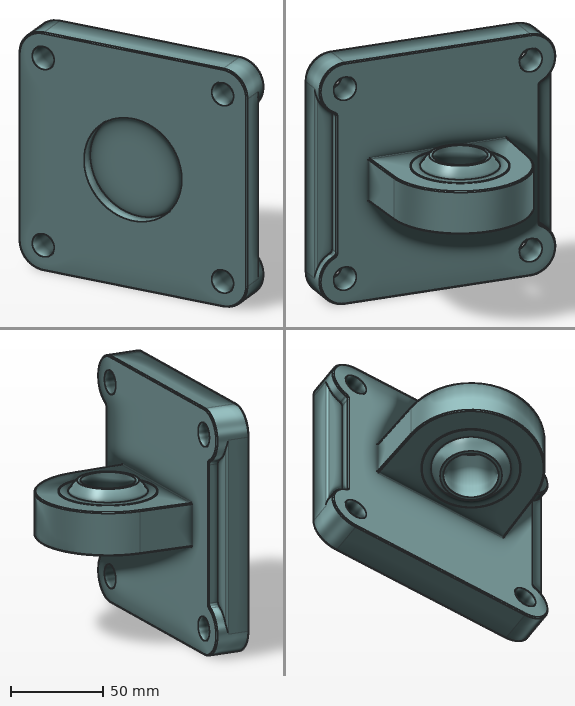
import cadquery as cq
import math

PLATE_SIZE = 140.0
PLATE_THICKNESS = 20.0
PLATE_EDGE_CHAMFER = 0.7
CORNER_RADIUS = 15.0
CORNER_OFFSET = PLATE_SIZE / 2 - CORNER_RADIUS
BOLT_HOLE_DIAMETER = 13.5
RECESS_DIAMETER = 60.0
RECESS_DEPTH = 7.4

STEP_HEIGHT = 14.0
STEP_INSET = 10.0
STEP_EDGE_RADIUS = 1.3
BOSS_ROOT_RADIUS = 2.5

EYE_HEIGHT = 50.0
EYE_RADIUS = 40.0
LUG_THICKNESS = 24.9
LUG_DRAFT = math.radians(2)
LUG_EDGE_CHAMFER = 0.7
LUG_ROOT_RADIUS = 0.5

OUTER_RING_DIAMETER = 54.0
OUTER_RING_CHAMFER = 0.4
BALL_RADIUS = 25.0
BALL_WIDTH = 37.1
BORE_DIAMETER = 30.0


def eye_cylinder(diameter, length):
    """Cylinder on the eye axis, centred on Z = 0."""
    return cq.Workplane("XY").center(0, EYE_HEIGHT).circle(diameter / 2).extrude(length / 2, both=True)


def ball_sphere():
    return cq.Workplane("XY").sphere(BALL_RADIUS).translate((0, EYE_HEIGHT, 0))


def step_outline_prism():
    """Prism in Y over the -X set-back, with rounds running into the corner bosses."""
    edge_x = -PLATE_SIZE / 2
    outside_x = edge_x - STEP_INSET
    wall_x = edge_x + STEP_INSET

    root_x = wall_x - BOSS_ROOT_RADIUS
    boss_to_root_x = root_x + CORNER_OFFSET
    boss_to_root_z = math.sqrt((CORNER_RADIUS + BOSS_ROOT_RADIUS) ** 2 - boss_to_root_x**2)
    root_z = CORNER_OFFSET - boss_to_root_z
    root_to_boss = math.atan2(boss_to_root_z, -boss_to_root_x)

    def on_root(angle):
        x = root_x + BOSS_ROOT_RADIUS * math.cos(angle)
        z = root_z + BOSS_ROOT_RADIUS * math.sin(angle)
        return x, z

    def on_boss(angle):
        x = -CORNER_OFFSET + CORNER_RADIUS * math.cos(angle)
        z = CORNER_OFFSET + CORNER_RADIUS * math.sin(angle)
        return x, z

    tangent_x, tangent_z = on_root(root_to_boss)
    root_mid_x, root_mid_z = on_root(root_to_boss / 2)
    boss_mid_x, boss_mid_z = on_boss(math.pi + root_to_boss / 2)

    return (
        cq.Workplane("XZ")
        .moveTo(outside_x, CORNER_OFFSET)
        .lineTo(edge_x, CORNER_OFFSET)
        .threePointArc((boss_mid_x, boss_mid_z), (tangent_x, tangent_z))
        .threePointArc((root_mid_x, root_mid_z), (wall_x, root_z))
        .lineTo(wall_x, -root_z)
        .threePointArc((root_mid_x, -root_mid_z), (tangent_x, -tangent_z))
        .threePointArc((boss_mid_x, -boss_mid_z), (edge_x, -CORNER_OFFSET))
        .lineTo(outside_x, -CORNER_OFFSET)
        .close()
        .extrude(-PLATE_THICKNESS)
    )


def side_step():
    """Cutter for the -X set-back, leaving a rounded outer edge on its floor."""
    edge_x = -PLATE_SIZE / 2
    inside_x = edge_x + 2 * STEP_INSET
    outside_x = edge_x - STEP_INSET
    round_start_y = STEP_HEIGHT - STEP_EDGE_RADIUS
    round_mid = STEP_EDGE_RADIUS * math.sqrt(0.5)
    section = (
        cq.Workplane("XY")
        .moveTo(inside_x, STEP_HEIGHT)
        .lineTo(edge_x + STEP_EDGE_RADIUS, STEP_HEIGHT)
        .threePointArc(
            (edge_x + STEP_EDGE_RADIUS - round_mid, round_start_y + round_mid),
            (edge_x, round_start_y),
        )
        .lineTo(outside_x, round_start_y)
        .lineTo(outside_x, PLATE_THICKNESS)
        .lineTo(inside_x, PLATE_THICKNESS)
        .close()
        .extrude(PLATE_SIZE / 2, both=True)
    )
    return step_outline_prism().intersect(section)


def make_plate():
    plate = (
        cq.Workplane("XZ")
        .rect(PLATE_SIZE, PLATE_SIZE)
        .extrude(-PLATE_THICKNESS)
        .edges("|Y")
        .fillet(CORNER_RADIUS)
    )
    step = side_step()
    plate = plate.cut(step).cut(step.mirror("YZ"))
    plate = plate.faces("<Y or >Y").edges().chamfer(PLATE_EDGE_CHAMFER)
    bolt_holes = (
        cq.Workplane("XZ")
        .rect(2 * CORNER_OFFSET, 2 * CORNER_OFFSET, forConstruction=True)
        .vertices()
        .circle(BOLT_HOLE_DIAMETER / 2)
        .extrude(-PLATE_THICKNESS)
    )
    recess = cq.Workplane("XZ").circle(RECESS_DIAMETER / 2).extrude(-RECESS_DEPTH)
    return plate.cut(bolt_holes).cut(recess)


def make_lug():
    """Eye with drafted sides that are tangent to the eye round and run down into the plate."""
    root_y = PLATE_THICKNESS / 2
    tangent_x = EYE_RADIUS * math.cos(LUG_DRAFT)
    tangent_y = EYE_HEIGHT + EYE_RADIUS * math.sin(LUG_DRAFT)
    root_x = tangent_x + (tangent_y - root_y) * math.tan(LUG_DRAFT)
    return (
        cq.Workplane("XY")
        .moveTo(-root_x, root_y)
        .lineTo(-tangent_x, tangent_y)
        .threePointArc((0, EYE_HEIGHT + EYE_RADIUS), (tangent_x, tangent_y))
        .lineTo(root_x, root_y)
        .close()
        .extrude(LUG_THICKNESS / 2, both=True)
        .faces("<Z or >Z")
        .edges()
        .chamfer(LUG_EDGE_CHAMFER)
    )


def outer_ring_blank():
    return eye_cylinder(OUTER_RING_DIAMETER, LUG_THICKNESS)


def make_housing():
    lug_root = cq.selectors.BoxSelector(
        (-CORNER_OFFSET, PLATE_THICKNESS - LUG_ROOT_RADIUS, -LUG_THICKNESS),
        (CORNER_OFFSET, PLATE_THICKNESS + LUG_ROOT_RADIUS, LUG_THICKNESS),
    )
    body = make_plate().union(make_lug()).edges(lug_root).fillet(LUG_ROOT_RADIUS)
    return body.cut(outer_ring_blank())


def make_outer_ring():
    return outer_ring_blank().faces("<Z or >Z").edges().chamfer(OUTER_RING_CHAMFER).cut(ball_sphere())


def make_ball():
    """Inner ring: a sphere cut to width, with the pin bore through it."""
    width_limit = eye_cylinder(2 * BALL_RADIUS, BALL_WIDTH)
    return ball_sphere().intersect(width_limit).cut(eye_cylinder(BORE_DIAMETER, BALL_WIDTH))


housing = make_housing()
outer_ring = make_outer_ring()
ball = make_ball()

result = cq.Compound.makeCompound([housing.val(), outer_ring.val(), ball.val()])